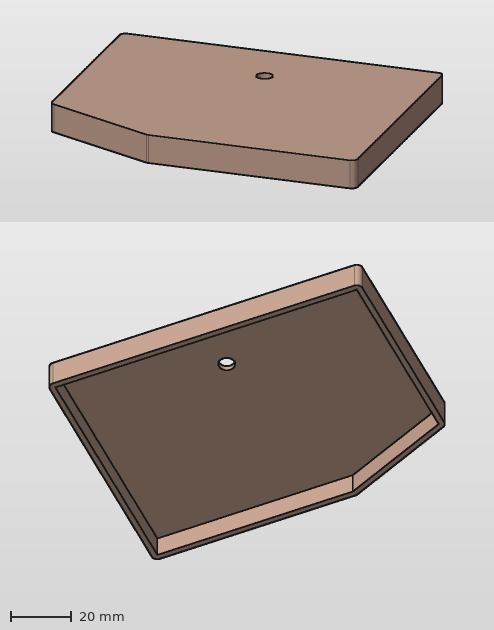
import cadquery as cq

length = 113.0
width = 87.0
height = 10.0

wall = 2.0
corner_radius = wall

cut_length = 39.9
cut_width = 17.1

hole_diameter = 5.5
hole_x = 58.0
hole_y = 64.9

outline = [
    (cut_length, 0),
    (length, 0),
    (length, width),
    (0, width),
    (0, cut_width),
]


def make_body():
    """Solid block with every upright edge rounded."""
    block = cq.Workplane("XY").polyline(outline).close().extrude(height)
    return block.edges("|Z").fillet(corner_radius)


def make_cavity():
    """Hollow open at the bottom, leaving the walls and the top plate."""
    return cq.Workplane("XY").polyline(outline).close().offset2D(-wall).extrude(height - wall)


def make_hole():
    """Cylinder to remove through the top plate."""
    return cq.Workplane("XY").center(hole_x, hole_y).circle(hole_diameter / 2).extrude(height)


result = make_body().cut(make_cavity()).cut(make_hole())